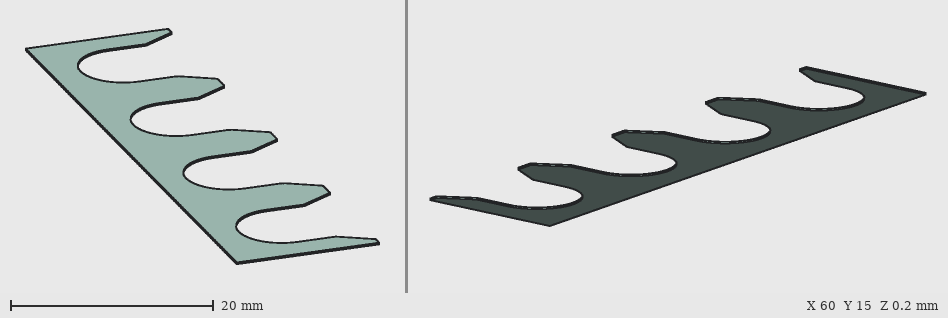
import cadquery as cq
import math

slot_count = 4
pitch = 15.0
depth = 15.0
thickness = 0.2
slot_width = 9.0
spine_width = 3.0
tip_width = 2.0
lead_in_angle = 60.0

length = slot_count * pitch
slot_radius = slot_width / 2
slot_center_y = spine_width + slot_radius
mouth_width = pitch - tip_width
lead_in_run = (mouth_width - slot_width) / 2
lead_in_start_y = depth - lead_in_run * math.tan(math.radians(lead_in_angle))


def make_plate():
    """Flat strip with one corner at the origin."""
    return cq.Workplane("XY").box(length, depth, thickness, centered=False)


def make_slot(center_x):
    """Round-bottomed slot that flares open at the +Y edge."""
    left = center_x - slot_radius
    right = center_x + slot_radius
    return (
        cq.Workplane("XY")
        .moveTo(left, slot_center_y)
        .threePointArc((center_x, spine_width), (right, slot_center_y))
        .lineTo(right, lead_in_start_y)
        .lineTo(right + lead_in_run, depth)
        .lineTo(left - lead_in_run, depth)
        .lineTo(left, lead_in_start_y)
        .close()
        .extrude(thickness)
    )


result = make_plate()
for index in range(slot_count):
    result = result.cut(make_slot((index + 0.5) * pitch))